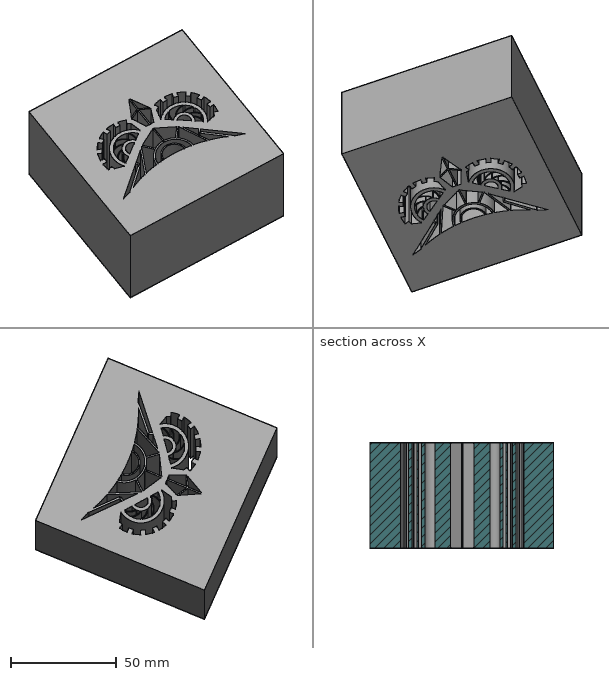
import cadquery as cq
import math

block_side = 86.98
block_height = 50.0

owl_shift_y = 0.25
centre_bar = 0.7

beak_tip_x = -23.9
beak_peak = (-13.3, 5.5)
beak_base = (-5.75, 2.15)
beak_rib_foot_x = -16.3
beak_rib_width = 0.65

brow_apex_x = -3.0
brow_bend = (2.7, 10.2)
ear_tip = (23.65, 34.5)
face_rear_x = 14.75
face_rear_radius = 64.3
ear_rear_y = 29.9

spoke = ((2.0, 10.7), (7.9, 5.7))
spoke_width = 0.75
cheek_bar = ((3.0, 11.0), (17.5, 17.85))
cheek_bar_width = 0.8
feather_bar = ((11.2, 17.1), (22.2, 29.3))
feather_bar_width = 1.0
feather_root = (9.3, 18.1)
feather_root_width = 0.9

face_rings = ((16.3, 10.5, 9.6), (15.3, 6.5, 5.85))

eye_centre = (1.55, 14.6)
gear_outer_radius = 16.85
gear_inner_radius = 11.05
notch_root_radius = 14.6
notch_overrun = 1.0
notch_width = 2.4
notch_pitch = 22.5
first_notch_angle = 72.2
notch_count = 7
end_corner_angle = 3
iris_radius = 9.2
hub_radius = 5.1
pupil_radius = 3.4

gear_front_end = (-5.5, 5.9)
gear_rear_end = (8.0, 23.6)

iris_blades = ((55, 90), (82, 117), (113, 154), (144, 200), (197, 238))
blade_half_angle = 2.6
blade_overrun = 0.2


def prism(outline):
    """Full-height prism over a closed 2D outline."""
    return outline.close().extrude(block_height)


def polygon(points):
    return prism(cq.Workplane("XY").polyline(points))


def disc(centre, radius):
    return cq.Workplane("XY").center(*centre).circle(radius).extrude(block_height)


def polar(radius, angle):
    """Point at a radius and an angle in degrees about the eye centre."""
    turn = math.radians(angle)
    return (eye_centre[0] + radius * math.cos(turn), eye_centre[1] + radius * math.sin(turn))


def bar(start, end, width):
    """Straight bar along the line from start to end."""
    run_x = end[0] - start[0]
    run_y = end[1] - start[1]
    length = math.hypot(run_x, run_y)
    middle = ((start[0] + end[0]) / 2, (start[1] + end[1]) / 2)
    flat = cq.Workplane("XY").rect(length, width).extrude(block_height)
    return flat.rotate((0, 0, 0), (0, 0, 1), math.degrees(math.atan2(run_y, run_x))).translate(middle)


def half_beak():
    outline = polygon([(beak_tip_x, 0), beak_peak, beak_base, (beak_base[0], 0)])
    rib = bar((beak_rib_foot_x, 0), beak_peak, beak_rib_width)
    spine = bar((beak_tip_x, 0), (beak_base[0], 0), centre_bar)
    return outline.cut(rib).cut(spine)


def face_rear(y):
    """Point of the rear arc of the face at a given y."""
    arc_depth = face_rear_radius - math.sqrt(face_rear_radius**2 - y**2)
    return (face_rear_x + arc_depth, y)


def half_face():
    outline = (
        cq.Workplane("XY")
        .moveTo(brow_apex_x, 0)
        .lineTo(*brow_bend)
        .lineTo(*ear_tip)
        .lineTo(*face_rear(ear_rear_y))
        .threePointArc(face_rear(ear_rear_y / 2), face_rear(0))
    )
    face = prism(outline)
    for ring_x, outer_radius, inner_radius in face_rings:
        face = face.cut(disc((ring_x, 0), outer_radius).cut(disc((ring_x, 0), inner_radius)))
    first_ring_x, first_ring_radius, _ = face_rings[0]
    nose_end_x = first_ring_x - first_ring_radius
    face = face.cut(bar((brow_apex_x, 0), (nose_end_x, 0), centre_bar))
    face = face.cut(bar(*spoke, spoke_width))
    face = face.cut(bar(*cheek_bar, cheek_bar_width))
    face = face.cut(bar(*feather_bar, feather_bar_width))
    return face.cut(bar(feather_root, feather_bar[0], feather_root_width))


def eye_side():
    """Everything on the eye's side of the brow, closed off by the two ends of the gear."""
    last_notch_angle = first_notch_angle + (notch_count - 1) * notch_pitch
    reach = 2 * gear_outer_radius
    middle_angle = (first_notch_angle + last_notch_angle) / 2
    return polygon(
        [
            gear_front_end,
            polar(notch_root_radius, last_notch_angle + end_corner_angle),
            polar(reach, last_notch_angle),
            polar(reach, middle_angle),
            polar(reach, first_notch_angle),
            polar(notch_root_radius, first_notch_angle - end_corner_angle),
            gear_rear_end,
        ]
    )


def gear():
    body = disc(eye_centre, gear_outer_radius).cut(disc(eye_centre, gear_inner_radius))
    for index in range(notch_count):
        angle = first_notch_angle + index * notch_pitch
        notch_mouth = polar(gear_outer_radius + notch_overrun, angle)
        body = body.cut(bar(polar(notch_root_radius, angle), notch_mouth, notch_width))
    return body


def blade(rim_angle, hub_angle):
    """Curved blade that spirals from the iris rim in to the hub."""
    rim = iris_radius + blade_overrun
    hub = hub_radius - blade_overrun
    middle = (rim + hub) / 2
    middle_angle = (rim_angle + hub_angle) / 2
    return prism(
        cq.Workplane("XY")
        .moveTo(*polar(rim, rim_angle - blade_half_angle))
        .threePointArc(
            polar(middle, middle_angle - blade_half_angle),
            polar(hub, hub_angle - blade_half_angle),
        )
        .lineTo(*polar(hub, hub_angle + blade_half_angle))
        .threePointArc(
            polar(middle, middle_angle + blade_half_angle),
            polar(rim, rim_angle + blade_half_angle),
        )
    )


def iris():
    opening = disc(eye_centre, iris_radius).cut(disc(eye_centre, hub_radius))
    for rim_angle, hub_angle in iris_blades:
        opening = opening.cut(blade(rim_angle, hub_angle))
    return opening.union(disc(eye_centre, pupil_radius))


def eye():
    return gear().union(iris()).intersect(eye_side())


result = cq.Workplane("XY").box(block_side, block_side, block_height, centered=(True, True, False))
for opening in (half_beak(), half_face(), eye()):
    for side in (opening, opening.mirror("XZ")):
        result = result.cut(side.translate((0, owl_shift_y, 0)))